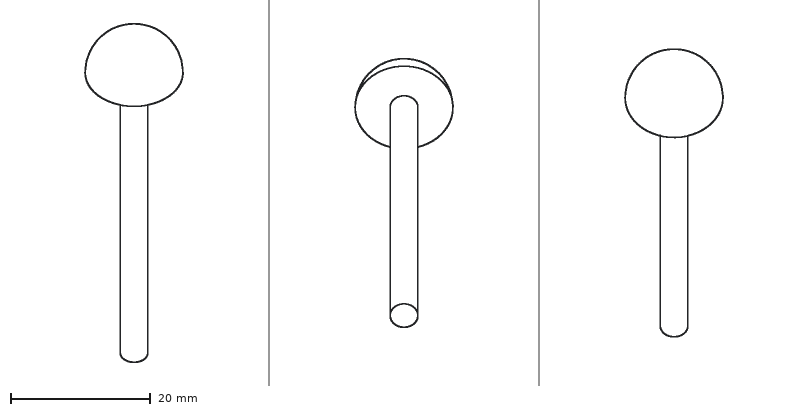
import cadquery as cq

total_length = 62.3
head_diameter = 14.0
shank_diameter = 4.0

head_radius = head_diameter / 2
shank_radius = shank_diameter / 2
shank_length = total_length - head_radius
arc_offset = head_radius * 0.5 ** 0.5

profile = (
    cq.Workplane("XZ")
    .moveTo(0, -shank_length)
    .lineTo(shank_radius, -shank_length)
    .lineTo(shank_radius, 0)
    .lineTo(head_radius, 0)
    .threePointArc((arc_offset, arc_offset), (0, head_radius))
    .close()
)

result = profile.revolve(360, (0, 0, 0), (0, 1, 0))